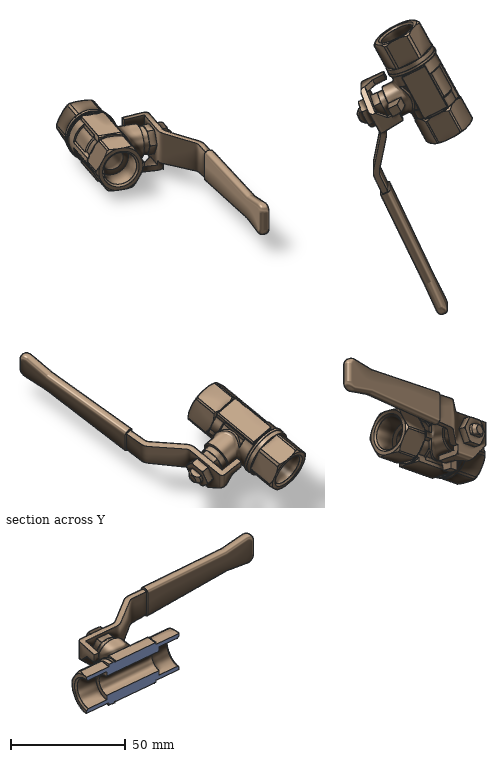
import cadquery as cq
import math


inlet_x = -27.3
outlet_x = 24.0
hex_across_flats = 20.1
inlet_corner_radius = 11.2
outlet_corner_radius = 11.4
hex_chamfer_length = 0.7
hex_shoulder_chamfer = 1.1
hex_chamfer_radius = 10.2
outlet_hex_start = 11.4
collar_start = -14.9
collar_step_x = -12.8
collar_end = -11.6
collar_small_radius = 11.4
collar_radius = 11.6
barrel_radius = 11.0
port_radius = 5.2
thread_radius = 7.6
thread_depth = 11.1
port_mouth_radius = 8.5

pad_start = -10.9
pad_height = 11.1
pad_half_width = 5.7
pad_chamfer = 0.6
top_pad_end = 11.4
bottom_pad_end = 10.4

pocket_start = -6.0
pocket_slope_start = 6.2
pocket_slope_end = 6.9
pocket_floor_radius = 10.2
deep_floor_radius = 9.7
pocket_wall_draft = math.radians(24)
rib_half_width = 1.4
rib_side_slope = math.radians(34)
rib_reach = 10.9
rib_end = 12.2

neck_radius = 7.6
neck_top = 17.0
neck_fillet = 1.5
lug_width = 4.1
lug_reach = 14.9
lug_root_y = 10.7
lug_tip_y = 12.6

gland_radius = 6.3
gland_hex_y = 20.0
nut_top = 29.5
nut_corner_radius = 6.7
nut_chamfer = 0.4
stem_radius = 3.6
stem_flat_half = 2.3
stem_top = 32.3
stem_chamfer = 1.5

strip = 2.6
plate_y = 24.7
lower_bend_x = 9.0
upper_bend_x = 24.4
upper_bend_y = 36.9
handle_tilt = math.radians(3)
bend_inner_radius = 3.7
bend_outer_radius = bend_inner_radius + strip
plate_half_width = 7.4
arm_end_half_width = 6.3

tab_outer = 12.0
tab_bend_radius = 1.9
tab_end_y = 14.1
tab_shoulder_y = 19.5
tab_inner_edge = 2.3
tab_outer_edge = 6.5
tab_root_edge = -2.0

grip_start_x = 34.2
grip_waist_x = 80.2
grip_shoulder_x = 92.0
grip_end_x = 96.1
grip_half_width = 7.4
grip_waist_half_width = 5.7
grip_tip_half_width = 4.2
grip_thickness = 4.6
grip_edge_radius = 1.9
grip_corner_sagitta = 1.1


def rod_x(radius, start, end):
    """Solid cylinder along X."""
    return cq.Workplane("YZ", origin=(start, 0, 0)).circle(radius).extrude(end - start)


def rod_y(radius, start, end):
    """Solid cylinder along Y."""
    return cq.Workplane("XZ", origin=(0, end, 0)).circle(radius).extrude(end - start)


def box(x_range, y_range, z_range):
    """Block between the given limits."""
    sizes = [limits[1] - limits[0] for limits in (x_range, y_range, z_range)]
    corner = (x_range[0], y_range[0], z_range[0])
    return cq.Workplane("XY").box(*sizes, centered=False).translate(corner)


def union_all(first, *others):
    """Join solids into one."""
    for other in others:
        first = first.union(other)
    return first


def turned_x(outline):
    """Solid of revolution about X from (x, radius) points."""
    return cq.Workplane("XY").polyline(outline).close().revolve(360, (0, 0, 0), (1, 0, 0))


def body_hex(start, end, corner_radius, start_chamfer, end_chamfer):
    """Hexagon along X with flats up and down, corners turned and ends chamfered to a cone."""
    corner_distance = hex_across_flats / math.cos(math.pi / 6)
    blank = cq.Workplane("YZ", origin=(start, 0, 0)).polygon(6, corner_distance).extrude(end - start)
    outline = [
        (start, 0),
        (start, hex_chamfer_radius),
        (start + start_chamfer, corner_radius),
        (end - end_chamfer, corner_radius),
        (end, hex_chamfer_radius),
        (end, 0),
    ]
    return blank.intersect(turned_x(outline))


def pad(end, side):
    """Flat pad on the barrel; side is +1 for the top and -1 for the bottom."""
    z_range = (0, pad_height) if side > 0 else (-pad_height, 0)
    block = box((pad_start, end), (-pad_half_width, pad_half_width), z_range)
    if side > 0:
        block = block.edges("(>Z and >Y) or (>Z and >X)").chamfer(pad_chamfer)
    return block


def pocket_wedge(start, end, wall_draft):
    """Space between the rib side and the pad wall, from inside the barrel outwards."""
    far = neck_top
    wall_top_z = math.sqrt(barrel_radius**2 - pad_half_width**2)
    wall_foot_z = wall_top_z / 2
    wall_foot_y = pad_half_width + (wall_top_z - wall_foot_z) * math.tan(wall_draft)
    rib_inner_z = rib_half_width + (rib_reach - wall_foot_y) * math.tan(rib_side_slope)
    section = [
        (pad_half_width, far),
        (pad_half_width, wall_top_z),
        (wall_foot_y, wall_foot_z),
        (wall_foot_y, rib_inner_z),
        (rib_reach, rib_half_width),
        (far, rib_half_width),
        (far, far),
    ]
    return cq.Workplane("YZ", origin=(start, 0, 0)).polyline(section).close().extrude(end - start)


def pocket():
    """Cutter for the +Y +Z pocket, whose floor slopes down to a deeper stretch near the outlet."""
    floor = [
        (pocket_start, 0),
        (pocket_start, pocket_floor_radius),
        (pocket_slope_start, pocket_floor_radius),
        (pocket_slope_end, deep_floor_radius),
        (outlet_hex_start, deep_floor_radius),
        (outlet_hex_start, 0),
    ]
    wedge = pocket_wedge(pocket_start, pocket_slope_start, pocket_wall_draft)
    wedge = wedge.union(pocket_wedge(pocket_slope_start, outlet_hex_start, 0))
    return wedge.cut(turned_x(floor))


def barrel():
    """Barrel with its neck, pads, four mirrored pockets and side ribs."""
    solid = rod_x(barrel_radius, collar_end, outlet_hex_start)
    solid = solid.union(rod_y(neck_radius, 0, neck_top))
    root_low = (-neck_radius, neck_radius, -neck_radius)
    root_high = (neck_radius, collar_radius, neck_radius)
    neck_root = cq.selectors.BoxSelector(root_low, root_high)
    solid = solid.edges(neck_root).fillet(neck_fillet)
    solid = union_all(solid, pad(top_pad_end, 1), pad(bottom_pad_end, -1))
    cutter = pocket()
    cutter = cutter.union(cutter.mirror("XY"))
    cutter = cutter.union(cutter.mirror("XZ"))
    cutter = cutter.cut(rod_y(neck_radius + neck_fillet / 2, 0, neck_top))
    ribs = box((outlet_hex_start, rib_end), (-rib_reach, rib_reach), (-rib_half_width, rib_half_width))
    return solid.cut(cutter).union(ribs)


def stop_lug():
    """Lug on the -Z side of the neck that the lever tabs strike."""
    outline = [
        (neck_top, 0),
        (neck_top, -lug_reach),
        (lug_tip_y, -lug_reach),
        (lug_root_y, -neck_radius),
        (lug_root_y, 0),
    ]
    profile = cq.Workplane("YZ").polyline(outline).close()
    return profile.extrude(lug_width / 2, both=True)


def port(end_x, inward):
    """Threaded bore with a countersunk mouth; inward is the X direction into the body."""
    countersink = port_mouth_radius - thread_radius
    outline = [
        (end_x, 0),
        (end_x, port_mouth_radius),
        (end_x + inward * countersink, thread_radius),
        (end_x + inward * thread_depth, thread_radius),
        (end_x + inward * thread_depth, 0),
    ]
    return turned_x(outline)


def valve_body():
    """Both hexagon ends, collar, barrel and stop lug, bored through along X."""
    inlet_hex = body_hex(
        inlet_x, collar_step_x, inlet_corner_radius, hex_chamfer_length, hex_chamfer_length
    )
    outlet_hex = body_hex(
        outlet_hex_start, outlet_x, outlet_corner_radius, hex_shoulder_chamfer, hex_chamfer_length
    )
    solid = union_all(
        inlet_hex,
        rod_x(collar_small_radius, collar_start, collar_step_x),
        rod_x(collar_radius, collar_step_x, collar_end),
        barrel(),
        outlet_hex,
        stop_lug(),
    )
    solid = solid.cut(rod_x(port_radius, inlet_x, outlet_x))
    return solid.cut(port(inlet_x, 1)).cut(port(outlet_x, -1))


def small_hex(start, end):
    """Hexagon on the stem axis, corners towards +X and -X, chamfered at both ends."""
    blank = cq.Workplane("XZ", origin=(0, end, 0)).polygon(6, 2 * nut_corner_radius).extrude(end - start)
    turned = rod_y(nut_corner_radius, start, end).faces("<Y or >Y").chamfer(nut_chamfer)
    return blank.intersect(turned)


def stem_stack():
    """Gland, lock nut and the flatted stem end, from the neck upwards."""
    stem = rod_y(stem_radius, neck_top, stem_top).faces(">Y").chamfer(stem_chamfer)
    flats = box((-stem_radius, stem_radius), (neck_top, stem_top), (-stem_flat_half, stem_flat_half))
    return union_all(
        rod_y(gland_radius, neck_top, gland_hex_y),
        small_hex(gland_hex_y, plate_y),
        small_hex(plate_y, nut_top),
        stem.intersect(flats),
    )


def strip_outline(y_shift):
    """Corners of one face of the bent arm, offset from its centre line, from plate to grip."""
    slope = math.atan2(upper_bend_y - plate_y, upper_bend_x - lower_bend_x)
    grip_y = upper_bend_y + (grip_waist_x - upper_bend_x) * math.tan(handle_tilt)
    end_shift = y_shift / math.cos(handle_tilt)
    return [
        (-tab_outer, plate_y + y_shift),
        (lower_bend_x - y_shift * math.tan(slope / 2), plate_y + y_shift),
        (upper_bend_x - y_shift * math.tan((slope + handle_tilt) / 2), upper_bend_y + y_shift),
        (grip_waist_x, grip_y + end_shift),
    ]


def lever_arm():
    """Bent strip from the stem plate into the grip, cut to its width."""
    half = strip / 2
    upper_side = strip_outline(half)
    under_side = strip_outline(-half)
    outline = upper_side + under_side[::-1]
    bent = cq.Workplane("XY").polyline(outline).close().extrude(tab_outer, both=True)
    (lower_top, upper_top), (lower_under, upper_under) = upper_side[1:3], under_side[1:3]
    for corner, radius in (
        (lower_top, bend_inner_radius),
        (lower_under, bend_outer_radius),
        (upper_top, bend_outer_radius),
        (upper_under, bend_inner_radius),
    ):
        nearest = cq.selectors.NearestToPointSelector((*corner, 0))
        bent = bent.edges("|Z").edges(nearest).fillet(radius)
    width = [
        (-tab_outer, plate_half_width),
        (lower_bend_x, plate_half_width),
        (grip_start_x, arm_end_half_width),
        (grip_waist_x, grip_tip_half_width),
        (grip_waist_x, -grip_tip_half_width),
        (grip_start_x, -arm_end_half_width),
        (lower_bend_x, -plate_half_width),
        (plate_half_width, -plate_half_width),
        (plate_half_width, -tab_outer),
        (tab_root_edge, -tab_outer),
        (-tab_outer, tab_root_edge),
    ]
    planform = cq.Workplane("XZ").polyline(width).close().extrude(-2 * upper_bend_y)
    return bent.intersect(planform)


def stop_tab():
    """Tab bent down from the -X edge of the lever plate."""
    top = plate_y + strip / 2
    root = plate_y - strip / 2
    outline = [
        (top, plate_half_width),
        (root, plate_half_width),
        (tab_end_y, tab_outer_edge),
        (tab_end_y, tab_inner_edge),
        (tab_shoulder_y, tab_inner_edge),
        (root, tab_root_edge),
        (top, tab_root_edge),
    ]
    return cq.Workplane("YZ", origin=(-tab_outer, 0, 0)).polyline(outline).close().extrude(strip)


def tab_bend():
    """Cutter that rounds the outer corner where the plate turns into the -X tab."""
    top = plate_y + strip / 2
    center_x = -tab_outer + tab_bend_radius
    center_y = top - tab_bend_radius
    corner = box((-tab_outer, center_x), (center_y, top), (-tab_outer, tab_outer))
    axis = cq.Workplane("XY", origin=(center_x, center_y, 0))
    return corner.cut(axis.circle(tab_bend_radius).extrude(tab_outer, both=True))


def mirrored_to_bottom(solid):
    """Mirror across the diagonal plane that swaps the -X and -Z edges of the plate."""
    return solid.mirror(cq.Vector(1, 0, -1), (0, 0, 0))


def grip():
    """Waisted grip with rounded edges, tilted with the end of the lever."""
    length = (grip_end_x - grip_start_x) / math.cos(handle_tilt)
    waist = grip_waist_x - grip_start_x
    shoulder = grip_shoulder_x - grip_start_x
    start_y = upper_bend_y + (grip_start_x - upper_bend_x) * math.tan(handle_tilt)
    solid = (
        cq.Workplane("XZ")
        .moveTo(0, -grip_half_width)
        .lineTo(waist, -grip_waist_half_width)
        .lineTo(shoulder, -grip_half_width)
        .sagittaArc((length, -grip_tip_half_width), -grip_corner_sagitta)
        .lineTo(length, grip_tip_half_width)
        .sagittaArc((shoulder, grip_half_width), -grip_corner_sagitta)
        .lineTo(waist, grip_waist_half_width)
        .lineTo(0, grip_half_width)
        .close()
        .extrude(grip_thickness / 2, both=True)
    )
    solid = solid.edges("(<Y or >Y) and (not <X)").fillet(grip_edge_radius)
    tilted = solid.rotate((0, 0, 0), (0, 0, 1), math.degrees(handle_tilt))
    return tilted.translate((grip_start_x, start_y, 0))


def lever():
    """Bent strip with its two stop tabs and the hand grip."""
    tab = stop_tab()
    solid = union_all(lever_arm(), tab, mirrored_to_bottom(tab))
    bend = tab_bend()
    solid = solid.cut(bend).cut(mirrored_to_bottom(bend))
    return solid.union(grip())


result = union_all(valve_body(), stem_stack(), lever())